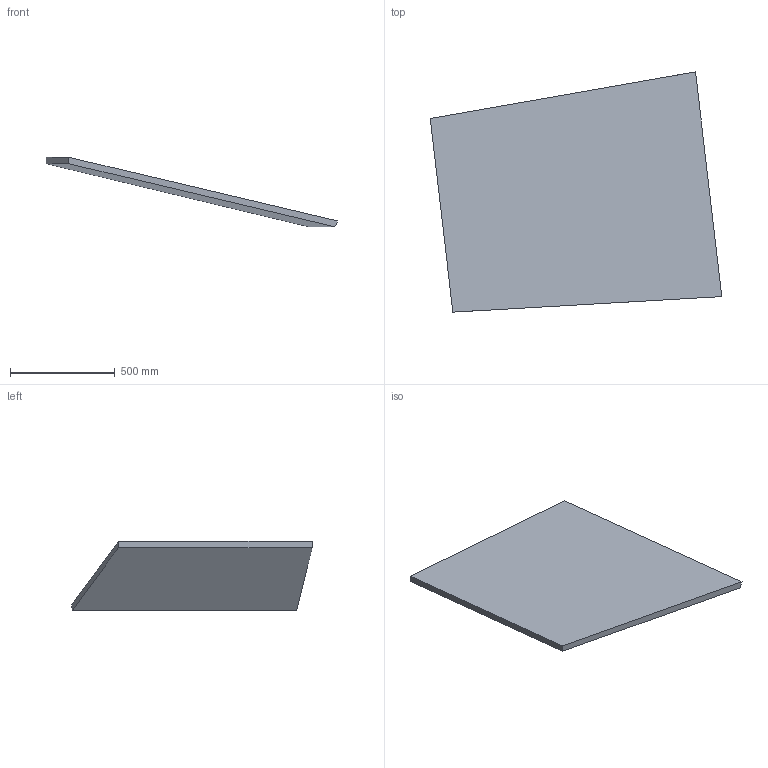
import math

import cadquery as cq

LENGTH_X = 1393.15
WIDTH_Y = 1149.0

THICKNESS = 30.0
YAW = math.radians(6.667)
FLARE = math.radians(3.333)
PITCH = math.radians(13.3202)

run = (LENGTH_X * math.cos(YAW) - WIDTH_Y * math.sin(YAW)) / math.cos(2 * YAW)
mean_width = (WIDTH_Y * math.cos(YAW) - LENGTH_X * math.sin(YAW)) / math.cos(2 * YAW)
half_flare = run / 2 * math.tan(FLARE)
high_half_width = mean_width / 2 - half_flare
low_half_width = mean_width / 2 + half_flare

upright_thickness = THICKNESS / math.cos(PITCH)
undercut = 2 * THICKNESS * math.sin(PITCH)
low_end_height = THICKNESS * math.cos(2 * PITCH) / math.cos(PITCH)
height_z = run * math.tan(PITCH) + low_end_height


def make_plan_prism():
    """Vertical prism with the trapezoidal plan outline."""
    corners = [
        (-run / 2, -high_half_width),
        (run / 2, -low_half_width),
        (run / 2, low_half_width),
        (-run / 2, high_half_width),
    ]
    return cq.Workplane("XY").polyline(corners).close().extrude(height_z / 2, both=True)


def make_sloping_slab():
    """Sloping slab with a vertical high end and an undercut low end, as wide as the low end."""
    z_top = height_z / 2
    z_bottom = -height_z / 2
    profile = [
        (-run / 2, z_top),
        (run / 2, z_bottom + low_end_height),
        (run / 2 - undercut, z_bottom),
        (-run / 2, z_top - upright_thickness),
    ]
    return cq.Workplane("XZ").polyline(profile).close().extrude(low_half_width, both=True)


panel = make_plan_prism().intersect(make_sloping_slab())
result = panel.rotate((0, 0, 0), (0, 0, 1), math.degrees(YAW))